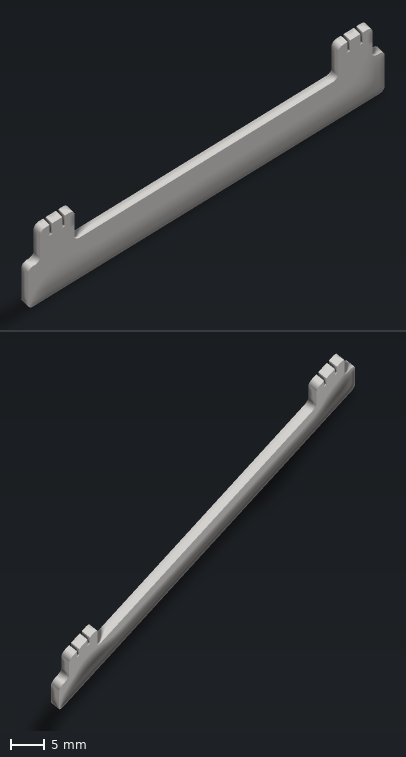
import cadquery as cq

thickness = 1.6
length = 68.7
height = 16.9
body_height = 9.55

tab_width = 6.6
tab_inset = 2.35
tab_center = length / 2 - tab_inset - tab_width / 2

slot_width = 0.5
slot_depth = 2.5
slot_pitch = 2.5

corner_radius = 1.0


def block(width, bottom, top, center=0.0):
    """Full-thickness block spanning bottom to top, centred on a Y position."""
    return cq.Workplane("XY").box(thickness, width, top - bottom).translate(
        (0, center, (bottom + top) / 2)
    )


def edges_across_plate(y_places, z):
    """Selector for the through-thickness edges at the given corners."""
    margin = 0.1
    selector = None
    for y in y_places:
        corner = cq.selectors.BoxSelector(
            (-thickness, y - margin, z - margin),
            (thickness, y + margin, z + margin),
        )
        selector = corner if selector is None else selector + corner
    return selector


plate = block(length, 0, body_height)
for side in (-1, 1):
    plate = plate.union(block(tab_width, 0, height, side * tab_center))

end_places = [-length / 2, length / 2]
tab_side_places = [
    side * tab_center + edge * tab_width / 2 for side in (-1, 1) for edge in (-1, 1)
]
for places, z in (
    (end_places, 0),
    (end_places, body_height),
    (tab_side_places, body_height),
    (tab_side_places, height),
):
    plate = plate.edges(edges_across_plate(places, z)).fillet(corner_radius)

for side in (-1, 1):
    for offset in (-slot_pitch / 2, slot_pitch / 2):
        slot_center = side * tab_center + offset
        plate = plate.cut(block(slot_width, height - slot_depth, height, slot_center))

result = plate